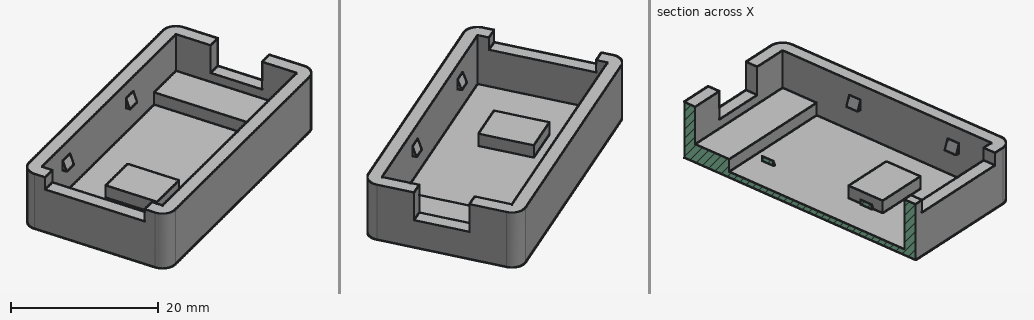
import cadquery as cq

length = 40.7
width = 22.8
height = 9.0
wall = 2.0
corner_radius = wall
floor = 1.0

inner_width = width - 2 * wall
inner_length = length - 2 * wall
inner_front = -inner_length / 2
inner_back = inner_length / 2

support_height = 2.0
support_length = 6.0
block_width = 8.0
block_front_gap = 8.0

front_notch_width = 15.5
front_notch_depth = 2.0
back_notch_width = block_width
back_notch_depth = 4.5

catch_width = 2.0
catch_reach = 0.6
catch_height = 1.6
catch_top = height - 2.4
catch_centers_y = (-11.65, 5.65)


def box_on(size_x, size_y, size_z, center_y, bottom):
    """Box centred on X = 0, standing on the given height."""
    return (
        cq.Workplane("XY")
        .box(size_x, size_y, size_z, centered=(True, True, False))
        .translate((0, center_y, bottom))
    )


def tray():
    outer = box_on(width, length, height, 0, 0).edges("|Z").fillet(corner_radius)
    return outer.cut(box_on(inner_width, inner_length, height - floor, 0, floor))


def back_shelf():
    center_y = inner_back - support_length / 2
    return box_on(inner_width, support_length, support_height, center_y, floor)


def floor_block():
    center_y = inner_front + block_front_gap + support_length / 2
    return box_on(block_width, support_length, support_height, center_y, floor)


def end_notch(side, notch_width, depth):
    """Cutter through one end wall: side is -1 for the front, 1 for the back."""
    center_y = side * (length - wall) / 2
    return box_on(notch_width, wall, depth, center_y, height - depth)


def snap_catch(side, center_y):
    """Wedge with a sloping top and a flat underside, on the side wall at -X or +X."""
    wall_x = side * inner_width / 2
    tip_x = wall_x - side * catch_reach
    catch_bottom = catch_top - catch_height
    return (
        cq.Workplane("XZ", origin=(0, center_y, 0))
        .polyline([(wall_x, catch_top), (tip_x, catch_bottom), (wall_x, catch_bottom)])
        .close()
        .extrude(catch_width / 2, both=True)
    )


result = tray().union(back_shelf()).union(floor_block())
result = result.cut(end_notch(-1, front_notch_width, front_notch_depth))
result = result.cut(end_notch(1, back_notch_width, back_notch_depth))
for side in (-1, 1):
    for center_y in catch_centers_y:
        result = result.union(snap_catch(side, center_y))